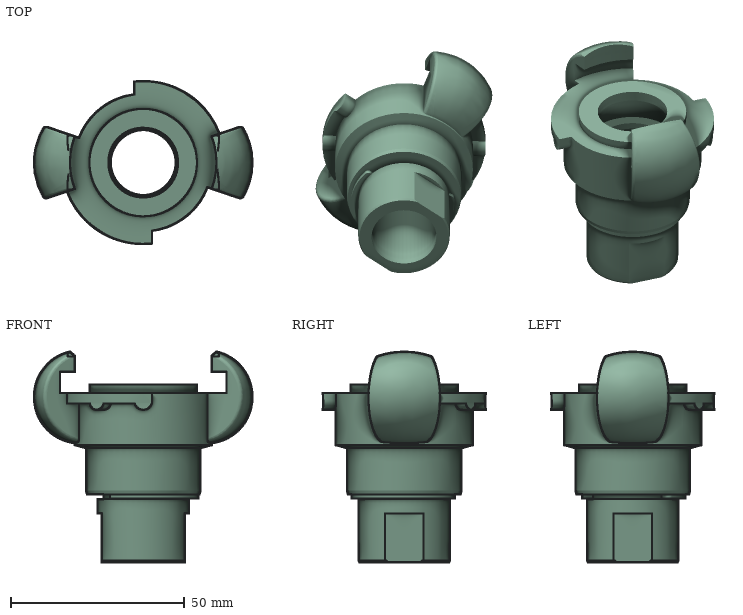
import cadquery as cq
import math


shoulder_top = 18.25
snap_ring_thickness = 1.2
groove_width = 1.3
head_bottom = shoulder_top + groove_width
cone_bottom = 32.95
cone_height = 0.9
flange_top = 48.8
face_height = 2.45
face_top = flange_top + face_height

barrel_diameter = 33.0
barrel_chamfer_height = 1.15
barrel_chamfer_width = 0.3
collar_diameter = 39.7
face_diameter = 31.0
mouth_diameter = 20.0
mouth_depth = 3.0
cavity_depth = 10.95
cavity_bulge = 0.5

ear_diameter = 47.0
ear_thickness = 2.95
tooth_radius = 2.6
tooth_axis_height = 46.55
tooth_angles = (0, -35)

claw_reach = 31.5
claw_axis_offset = 12.35
claw_section_radius = 13.4
claw_section_height = 47.65
claw_side_angle = 18.7
claw_side_x = 19.7
claw_side_y = 7.55
claw_edge_fillet = 0.95
claw_tip_radius = 21.1
claw_top = 60.7
claw_crown_radius = 23.3
slot_radius = 25.55
slot_height = 6.1

tail_diameter = 26.4
bore_diameter = 18.7
bore_chamfer_width = 0.7
bore_chamfer_height = 1.45
groove_diameter = 23.0
tail_chamfer_height = 0.6
tail_chamfer_width = 0.4
flat_width = 24.0
flat_height = 14.15

snap_ring_diameter = 29.8
snap_ring_offset = 1.1
snap_ring_end_fillet = 1.25
gap_middle_angle = 161.5
gap_half_angle = 64.5


def cylinder(diameter, bottom, height):
    return cq.Workplane("XY").workplane(offset=bottom).circle(diameter / 2).extrude(height)


def half_turn(shape):
    return shape.rotate((0, 0, 0), (0, 0, 1), 180)


def make_head_body():
    barrel_r = barrel_diameter / 2
    collar_r = collar_diameter / 2
    face_r = face_diameter / 2
    return (
        cq.Workplane("XZ")
        .moveTo(0, head_bottom)
        .lineTo(barrel_r - barrel_chamfer_width, head_bottom)
        .lineTo(barrel_r, head_bottom + barrel_chamfer_height)
        .lineTo(barrel_r, cone_bottom)
        .lineTo(collar_r, cone_bottom + cone_height)
        .lineTo(collar_r, flange_top)
        .lineTo(face_r, flange_top)
        .lineTo(face_r, face_top)
        .lineTo(0, face_top)
        .close()
        .revolve(360, (0, 0, 0), (0, 1, 0))
    )


def make_tooth(angle):
    tooth = (
        cq.Workplane("XZ")
        .moveTo(-tooth_radius, flange_top)
        .lineTo(-tooth_radius, tooth_axis_height)
        .threePointArc((0, tooth_axis_height - tooth_radius), (tooth_radius, tooth_axis_height))
        .lineTo(tooth_radius, flange_top)
        .close()
        .extrude(ear_diameter)
    )
    return tooth.rotate((0, 0, 0), (0, 0, 1), angle)


def make_ear():
    ear_bottom = flange_top - ear_thickness
    ear = (
        cq.Workplane("XY")
        .workplane(offset=ear_bottom)
        .rect(ear_diameter, ear_diameter)
        .extrude(ear_thickness)
        .translate((-ear_diameter / 2, -ear_diameter / 2, 0))
    )
    for angle in tooth_angles:
        ear = ear.union(make_tooth(angle))
    return ear.intersect(cylinder(ear_diameter, 0, flange_top))


def make_claw():
    section_x = claw_reach - claw_axis_offset - claw_section_radius
    half_height = math.sqrt(claw_section_radius**2 - section_x**2)
    rounded = (
        cq.Workplane("XZ")
        .moveTo(0, claw_section_height - half_height)
        .threePointArc(
            (section_x + claw_section_radius, claw_section_height),
            (0, claw_section_height + half_height),
        )
        .close()
        .revolve(360, (0, 0, 0), (0, 1, 0))
        .translate((claw_axis_offset, 0, 0))
    )
    inner_x = face_diameter / 2
    slope = math.tan(math.radians(claw_side_angle))
    inner_y = claw_side_y + (inner_x - claw_side_x) * slope
    outer_y = claw_side_y + (claw_reach - claw_side_x) * slope
    wedge = (
        cq.Workplane("XY")
        .polyline([(inner_x, -inner_y), (claw_reach, -outer_y), (claw_reach, outer_y), (inner_x, inner_y)])
        .close()
        .extrude(face_top + claw_section_radius)
    )
    claw = rounded.intersect(wedge)
    margin = 0.05
    side_edges = cq.selectors.BoxSelector(
        (inner_x + margin, -claw_reach, 0),
        (claw_reach - margin, claw_reach, 2 * claw_top),
    )
    claw = claw.edges(side_edges).fillet(claw_edge_fillet)
    crown = (
        cq.Workplane("YZ")
        .center(0, claw_top - claw_crown_radius)
        .circle(claw_crown_radius)
        .extrude(claw_reach)
    )
    tip_clearance = cylinder(2 * claw_tip_radius, flange_top, claw_top)
    slot = cylinder(2 * slot_radius, flange_top, slot_height)
    return claw.intersect(crown).cut(tip_clearance).cut(slot)


def make_head_cavity():
    mouth_r = mouth_diameter / 2
    bore_r = tail_diameter / 2
    mouth_bottom = face_top - mouth_depth
    cavity_bottom = face_top - cavity_depth
    flare_middle = ((mouth_r + bore_r) / 2 - cavity_bulge, (mouth_bottom + cavity_bottom) / 2)
    return (
        cq.Workplane("XZ")
        .moveTo(0, 0)
        .lineTo(bore_r, 0)
        .lineTo(bore_r, cavity_bottom)
        .threePointArc(flare_middle, (mouth_r, mouth_bottom))
        .lineTo(mouth_r, face_top)
        .lineTo(0, face_top)
        .close()
        .revolve(360, (0, 0, 0), (0, 1, 0))
    )


def make_head():
    head = make_head_body()
    claw = make_claw()
    ear = make_ear()
    for shape in (ear, half_turn(ear), claw, half_turn(claw)):
        head = head.union(shape)
    return head.cut(make_head_cavity())


def make_tail():
    outer_r = tail_diameter / 2
    bore_r = bore_diameter / 2
    groove_r = groove_diameter / 2
    tail_top = face_top - cavity_depth
    tail = (
        cq.Workplane("XZ")
        .moveTo(bore_r, 0)
        .lineTo(outer_r - tail_chamfer_width, 0)
        .lineTo(outer_r, tail_chamfer_height)
        .lineTo(outer_r, shoulder_top)
        .lineTo(groove_r, shoulder_top)
        .lineTo(groove_r, head_bottom)
        .lineTo(outer_r, head_bottom)
        .lineTo(outer_r, tail_top)
        .lineTo(bore_r + bore_chamfer_width, tail_top)
        .lineTo(bore_r, tail_top - bore_chamfer_height)
        .close()
        .revolve(360, (0, 0, 0), (0, 1, 0))
    )
    between_flats = cq.Workplane("XY").rect(flat_width, tail_diameter).extrude(flat_height)
    above_flats = cylinder(tail_diameter, flat_height, tail_top)
    return tail.intersect(between_flats.union(above_flats))


def make_snap_ring():
    def at_angle(radius, angle):
        return (radius * math.cos(math.radians(angle)), radius * math.sin(math.radians(angle)))

    bottom = head_bottom - snap_ring_thickness
    center = at_angle(-snap_ring_offset, gap_middle_angle)
    gap_depth = 2 * snap_ring_diameter
    gap = (
        cq.Workplane("XY")
        .workplane(offset=bottom)
        .polyline([
            (0, 0),
            at_angle(gap_depth, gap_middle_angle - gap_half_angle),
            at_angle(gap_depth, gap_middle_angle + gap_half_angle),
        ])
        .close()
        .extrude(snap_ring_thickness)
    )
    disc = cylinder(snap_ring_diameter, bottom, snap_ring_thickness).translate((*center, 0))
    ring = disc.cut(cylinder(groove_diameter, bottom, snap_ring_thickness)).cut(gap)
    for angle in (gap_middle_angle - gap_half_angle, gap_middle_angle + gap_half_angle):
        outer_corner = cq.selectors.NearestToPointSelector((*at_angle(snap_ring_diameter / 2, angle), bottom))
        ring = ring.edges("|Z").edges(outer_corner).fillet(snap_ring_end_fillet)
    return ring


head = make_head()
tail = make_tail()
snap_ring = make_snap_ring()

result = cq.Compound.makeCompound([head.val(), tail.val(), snap_ring.val()])